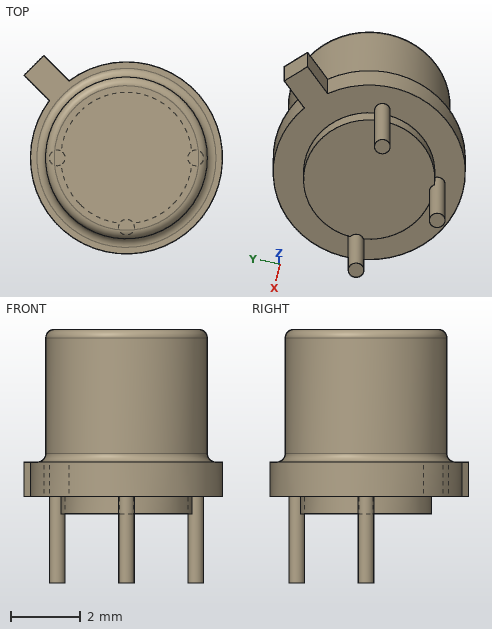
import cadquery as cq
import math

total_height = 7.33
pin_length = 2.5
flange_thickness = 1.0
standoff_height = 0.5

can_radius = 2.34
flange_radius = 2.78
standoff_radius = 1.9
edge_radius = 0.25

tab_width = 0.81
tab_reach = 3.78
tab_angle = 135.0

pin_radius = 0.23
pin_circle_radius = 2.0
pin_angles = (180, 270, 0)

flange_bottom = pin_length
flange_top = flange_bottom + flange_thickness


def make_can_profile():
    """Half section of the can, flange and standoff, in the XZ plane."""
    foot_radius = can_radius + edge_radius
    top_flat_radius = can_radius - edge_radius
    standoff_bottom = flange_bottom - standoff_height
    arc_offset = edge_radius * math.sqrt(0.5)
    foot_arc_middle = (foot_radius - arc_offset, flange_top + edge_radius - arc_offset)
    top_arc_middle = (top_flat_radius + arc_offset, total_height - edge_radius + arc_offset)
    return (
        cq.Workplane("XZ")
        .moveTo(0, standoff_bottom)
        .lineTo(standoff_radius, standoff_bottom)
        .lineTo(standoff_radius, flange_bottom)
        .lineTo(flange_radius, flange_bottom)
        .lineTo(flange_radius, flange_top)
        .lineTo(foot_radius, flange_top)
        .threePointArc(foot_arc_middle, (can_radius, flange_top + edge_radius))
        .lineTo(can_radius, total_height - edge_radius)
        .threePointArc(top_arc_middle, (top_flat_radius, total_height))
        .lineTo(0, total_height)
        .close()
    )


def make_tab():
    """Rectangular tab, level with the flange, running outward from inside it."""
    tab_start = can_radius
    return (
        cq.Workplane("XY")
        .box(tab_reach - tab_start, tab_width, flange_thickness, centered=(False, True, False))
        .translate((tab_start, 0, flange_bottom))
        .rotate((0, 0, 0), (0, 0, 1), tab_angle)
    )


def make_pin(angle):
    """Straight round pin from its tip up to the underside of the flange."""
    x = pin_circle_radius * math.cos(math.radians(angle))
    y = pin_circle_radius * math.sin(math.radians(angle))
    return cq.Workplane("XY").center(x, y).circle(pin_radius).extrude(pin_length)


pins = [make_pin(angle) for angle in pin_angles]

housing = make_can_profile().revolve(360, (0, 0, 0), (0, 1, 0)).union(make_tab())
for pin in pins:
    housing = housing.cut(pin)

result = cq.Compound.makeCompound([housing.val(), *[pin.val() for pin in pins]])